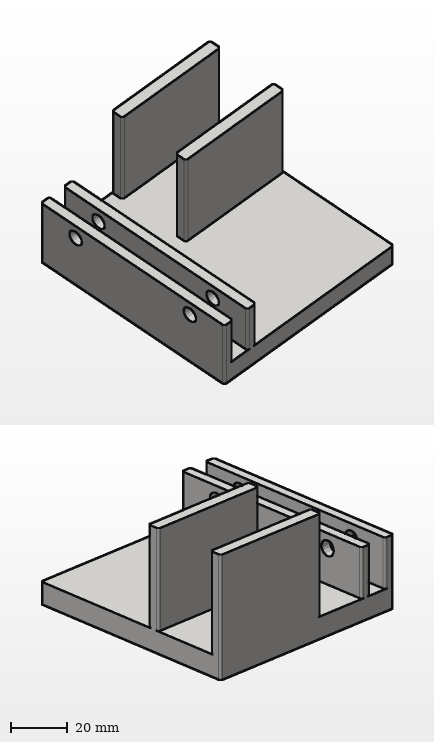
import cadquery as cq

length = 90.0
depth = 85.8
base_height = 8.8
corner_radius = 1.0

tall_wall_top = 48.8
tall_wall_thickness = 5.0
tall_wall_depth = 49.7
tall_wall_gap = 26.1
tall_wall_starts = (0, tall_wall_thickness + tall_wall_gap)

plate_top = 28.8
plate_thickness = 4.2
plate_gap = 7.4
plate_starts = (0, plate_thickness + plate_gap)

hole_diameter = 6.0
hole_spacing = 56.0
hole_height = 22.95
hole_centers = [(length / 2 + side * hole_spacing / 2, hole_height) for side in (-1, 1)]


def rounded_block(x, y, size_x, size_y, height):
    """Block standing on Z = 0 with its four upright edges rounded."""
    block = cq.Workplane("XY").box(size_x, size_y, height, centered=False)
    return block.edges("|Z").fillet(corner_radius).translate((x, y, 0))


body = rounded_block(0, 0, length, depth, base_height)

for start in tall_wall_starts:
    body = body.union(
        rounded_block(start, depth - tall_wall_depth, tall_wall_thickness, tall_wall_depth, tall_wall_top)
    )

for start in plate_starts:
    body = body.union(rounded_block(0, start, length, plate_thickness, plate_top))

plates_depth = 2 * plate_thickness + plate_gap
holes = (
    cq.Workplane("XZ")
    .pushPoints(hole_centers)
    .circle(hole_diameter / 2)
    .extrude(-plates_depth)
)

result = body.cut(holes)